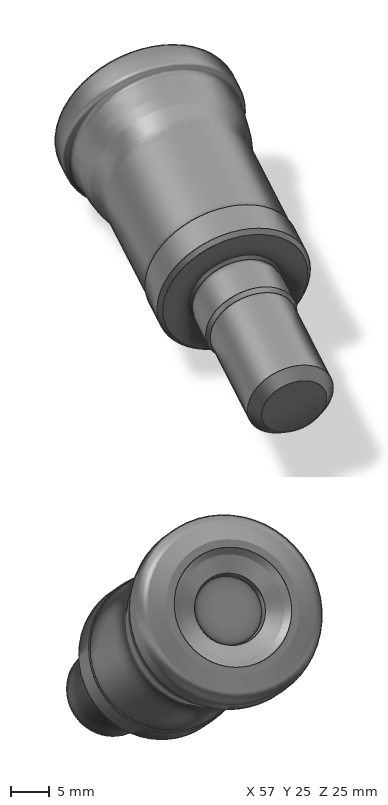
import cadquery as cq

overall_length = 57.0

head_radius = 12.5
face_outer_radius = 11.3
face_outer_x = 0.4
corner_middle_x = 0.95
corner_middle_radius = 12.1
rim_start_x = 2.05
rim_end_x = 4.5
waist_x = 6.2
waist_radius = 11.7
flare_bend_x = 9.3
flare_bend_radius = 11.35
taper_start_x = 11.05
taper_start_radius = 11.05
taper_end_x = 13.1
taper_end_radius = 10.5
barrel_start_x = 14.3
barrel_radius = 20.6 / 2

lip_outer_radius = 8.9
lip_crest_radius = 7.85
lip_inner_radius = 7.0
lip_inner_x = 0.45
dish_bottom_radius = 4.75
dish_bottom_x = 1.3
recess_floor_radius = 4.5
recess_floor_x = 2.2

flange_start_x = 29.9
flange_radius = 21.0 / 2
flange_end_x = 35.0
flange_chamfer = 0.55
neck_start_radius = 6.4
neck_bottom_x = 35.5
neck_bottom_radius = 6.05
collar_start_x = 36.35
collar_radius = 12.5 / 2
collar_end_x = 41.0
shaft_start_x = 41.65
shaft_radius = 11.75 / 2
shaft_chamfer = 1.4


def revolve_about_x(profile):
    """Close a half profile drawn in the XY plane and turn it about the X axis."""
    return profile.close().revolve(360, (0, 0, 0), (1, 0, 0))


def make_sleeve():
    profile = (
        cq.Workplane("XY")
        .moveTo(recess_floor_x, 0)
        .lineTo(recess_floor_x, recess_floor_radius)
        .lineTo(dish_bottom_x, dish_bottom_radius)
        .lineTo(lip_inner_x, lip_inner_radius)
        .lineTo(0, lip_crest_radius)
        .lineTo(0, lip_outer_radius)
        .lineTo(face_outer_x, face_outer_radius)
        .threePointArc((corner_middle_x, corner_middle_radius), (rim_start_x, head_radius))
        .lineTo(rim_end_x, head_radius)
        .tangentArcPoint(((rim_end_x + waist_x) / 2, (head_radius + waist_radius) / 2), relative=False)
        .tangentArcPoint((waist_x, waist_radius), relative=False)
        .lineTo(flare_bend_x, flare_bend_radius)
        .tangentArcPoint((taper_start_x, taper_start_radius), relative=False)
        .lineTo(taper_end_x, taper_end_radius)
        .tangentArcPoint((barrel_start_x, barrel_radius), relative=False)
        .lineTo(flange_start_x, barrel_radius)
        .lineTo(flange_start_x, 0)
    )
    return revolve_about_x(profile)


def make_base():
    profile = (
        cq.Workplane("XY")
        .moveTo(flange_start_x, 0)
        .lineTo(flange_start_x, flange_radius)
        .lineTo(flange_end_x - flange_chamfer, flange_radius)
        .lineTo(flange_end_x, flange_radius - flange_chamfer)
        .lineTo(flange_end_x, neck_start_radius)
        .lineTo(neck_bottom_x, neck_bottom_radius)
        .lineTo(collar_start_x, collar_radius)
        .lineTo(collar_end_x, collar_radius)
        .lineTo(shaft_start_x, shaft_radius)
        .lineTo(overall_length - shaft_chamfer, shaft_radius)
        .lineTo(overall_length, shaft_radius - shaft_chamfer)
        .lineTo(overall_length, 0)
    )
    return revolve_about_x(profile)


sleeve = make_sleeve()
base = make_base()
result = cq.Compound.makeCompound([sleeve.val(), base.val()])